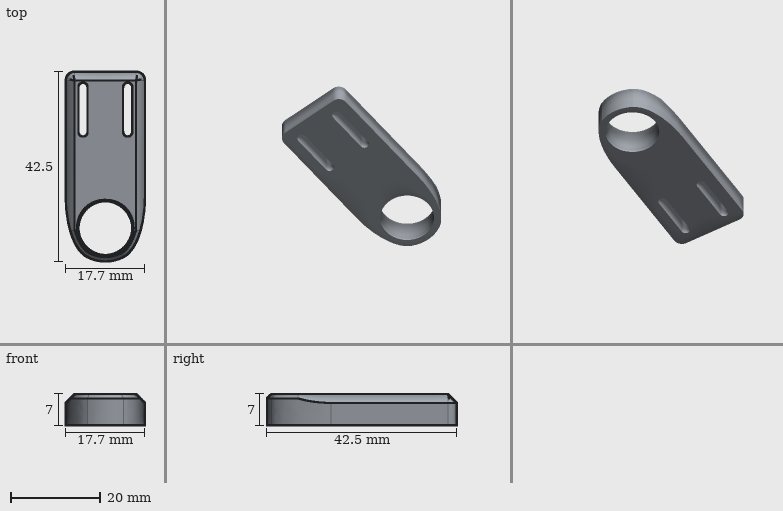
import cadquery as cq
import math

WIDTH = 17.74
HEIGHT = 7.0
TIP_Y = -7.5
BACK_Y = 35.0
HALF_WIDTH = WIDTH / 2

NOSE_START_Y = 6.8
TIP_RADIUS = 8.5
TIP_ARC_HALF_WIDTH = 4.03
SIDE_PULL = 5.2
TIP_PULL = 3.8
NOSE_CHAMFER = 1.0

EDGE_CHAMFER = 2.0

BORE_DIAMETER = 12.7
LIP_DIAMETER = 12.0
LIP_THICKNESS = 0.5

SLOT_WIDTH = 2.0
SLOT_LENGTH = 12.0
SLOT_SPACING = 10.0
SLOT_CENTER_Y = 26.5

OVERRUN = 10.0


def make_chamfered_bar():
    """Bar with chamfered sides and back, and rounded back corners."""
    front_y = TIP_Y - OVERRUN
    bar = (
        cq.Workplane("XY")
        .rect(WIDTH, BACK_Y - front_y)
        .extrude(HEIGHT)
        .translate((0, (BACK_Y + front_y) / 2, 0))
        .faces(">Z")
        .chamfer(EDGE_CHAMFER)
    )
    corner_y = BACK_Y - EDGE_CHAMFER
    for side in (-1, 1):
        corner_x = side * (HALF_WIDTH - EDGE_CHAMFER)
        square_corner = (
            cq.Workplane("XY")
            .center(corner_x + side * EDGE_CHAMFER / 2, corner_y + EDGE_CHAMFER / 2)
            .rect(EDGE_CHAMFER, EDGE_CHAMFER)
            .extrude(HEIGHT)
        )
        bar = bar.cut(square_corner.cut(make_pointed_post(corner_x, corner_y)))
    return bar


def make_pointed_post(x, y):
    """Round post with a 45 degree conical top, standing at (x, y)."""
    profile = [(0, 0), (EDGE_CHAMFER, 0), (EDGE_CHAMFER, HEIGHT - EDGE_CHAMFER), (0, HEIGHT)]
    post = cq.Workplane("XZ").polyline(profile).close().revolve(360, (0, 0, 0), (0, 1, 0))
    return post.translate((x, y, 0))


def make_nose_body():
    """Long body with the rounded nose outline and a chamfered top edge."""
    end_angle = math.asin(TIP_ARC_HALF_WIDTH / TIP_RADIUS)
    arc_end_y = TIP_Y + TIP_RADIUS * (1 - math.cos(end_angle))
    pull_x = TIP_ARC_HALF_WIDTH + TIP_PULL * math.cos(end_angle)
    pull_y = arc_end_y + TIP_PULL * math.sin(end_angle)
    end_y = BACK_Y + OVERRUN

    right_curve = [
        (HALF_WIDTH, NOSE_START_Y),
        (HALF_WIDTH, NOSE_START_Y - SIDE_PULL),
        (pull_x, pull_y),
        (TIP_ARC_HALF_WIDTH, arc_end_y),
    ]
    left_curve = [(-x, y) for x, y in reversed(right_curve)]
    return (
        cq.Workplane("XY")
        .moveTo(HALF_WIDTH, end_y)
        .lineTo(*right_curve[0])
        .bezier(right_curve)
        .threePointArc((0, TIP_Y), left_curve[0])
        .bezier(left_curve)
        .lineTo(-HALF_WIDTH, end_y)
        .close()
        .extrude(HEIGHT)
        .faces(">Z")
        .chamfer(NOSE_CHAMFER)
    )


def make_bore():
    """Cutter for the bore, leaving a thin lip at the bottom."""
    through = cq.Workplane("XY").circle(LIP_DIAMETER / 2).extrude(HEIGHT)
    wide = cq.Workplane("XY", origin=(0, 0, LIP_THICKNESS)).circle(BORE_DIAMETER / 2).extrude(HEIGHT)
    return through.union(wide)


def make_slots():
    """Cutters for the two mounting slots, running along Y."""
    return (
        cq.Workplane("XY")
        .pushPoints([(side * SLOT_SPACING / 2, SLOT_CENTER_Y) for side in (-1, 1)])
        .slot2D(SLOT_LENGTH, SLOT_WIDTH, 90)
        .extrude(HEIGHT)
    )


body = make_chamfered_bar().intersect(make_nose_body())
result = body.cut(make_bore()).cut(make_slots())